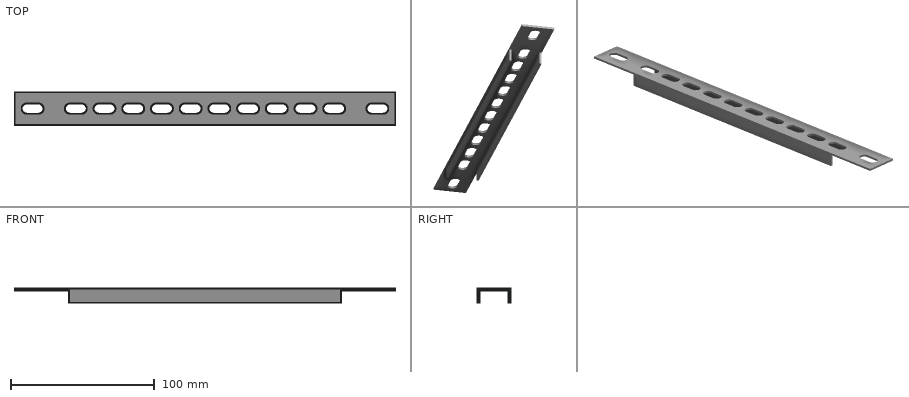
import cadquery as cq

length = 265.0
width = 23.0
height = 10.0
thickness = 1.5

flange_length = 189.5

slot_length = 15.0
slot_width = 7.0
inner_slot_span = 180.0
inner_slot_count = 10
slot_pitch = inner_slot_span / (inner_slot_count - 1)
end_slot_offset = 120.0


def make_web():
    """Flat strip whose top face lies at Z = 0."""
    return cq.Workplane("XY").box(length, width, thickness, centered=(True, True, False)).translate(
        (0, 0, -thickness)
    )


def make_flange(side):
    """Downturned flange flush with one long edge; side is -1 or +1."""
    center_y = side * (width - thickness) / 2
    return (
        cq.Workplane("XY")
        .box(flange_length, thickness, height, centered=(True, True, False))
        .translate((0, center_y, -height))
    )


def make_slots():
    """Cutters for the evenly spaced inner slots and the two end slots."""
    first_x = -inner_slot_span / 2
    centers = [(first_x + i * slot_pitch, 0) for i in range(inner_slot_count)]
    centers += [(-end_slot_offset, 0), (end_slot_offset, 0)]
    return cq.Workplane("XY").pushPoints(centers).slot2D(slot_length, slot_width).extrude(-thickness)


result = make_web()
for side in (-1, 1):
    result = result.union(make_flange(side))
result = result.cut(make_slots())